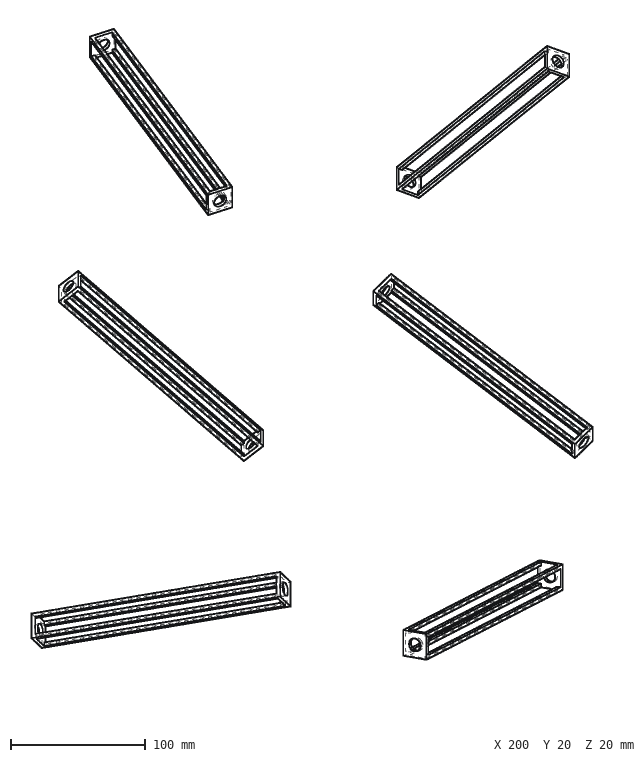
import cadquery as cq

length = 200.0
width = 20.0

wall = 3.0
hole_diameter = 10.0

window_length = length - 2 * wall
window_width = width - 2 * wall


def side_window(plane):
    """Rectangular opening cut right through the frame, normal to the plane."""
    return cq.Workplane(plane).rect(window_length, window_width).extrude(width, both=True)


frame = cq.Workplane("XY").box(length, width, width)
for plane in ("XY", "XZ"):
    frame = frame.cut(side_window(plane))

end_holes = cq.Workplane("YZ").circle(hole_diameter / 2).extrude(length, both=True)

result = frame.cut(end_holes)